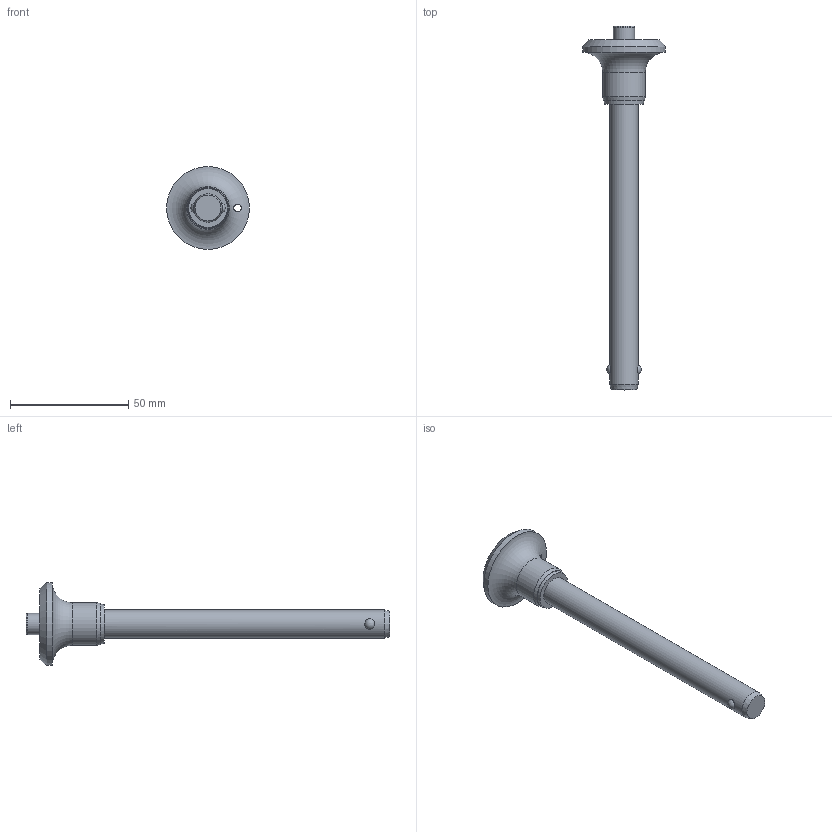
import cadquery as cq
import math


shank_radius = 6.0
shank_length = 120.8
tip_length = 2.4
tip_radius = 5.4

ball_radius = 2.25
ball_protrusion = 1.3
ball_from_tip = 8.6

collar_length = 1.4
collar_end_radius = 8.2
collar_radius = 8.4
taper_length = 1.7
taper_end_radius = 8.6

body_radius = 9.0
body_length = 10.3
flange_radius = 17.5
rim_length = 2.4
flange_chamfer_length = 2.8
flange_face_radius = 15.2

button_radius = 4.5
button_length = 5.9
button_edge_length = 0.5
button_face_radius = 4.3

lanyard_hole_radius = 1.6
lanyard_hole_offset = 12.5

flare_radius = flange_radius - body_radius
shank_end = -shank_length
taper_start = collar_length
body_start = taper_start + taper_length
flare_start = body_start + body_length
rim_start = flare_start + flare_radius
rim_end = rim_start + rim_length
flange_face = rim_end + flange_chamfer_length
button_end = flange_face + button_length


def make_turned_body():
    """Revolve the half profile of shank, collar, knob and button about Y."""
    flare_reach = flare_radius * math.sqrt(0.5)
    flare_middle = (flange_radius - flare_reach, flare_start + flare_reach)
    profile = (
        cq.Workplane("XY")
        .moveTo(0, shank_end)
        .lineTo(tip_radius, shank_end)
        .lineTo(shank_radius, shank_end + tip_length)
        .lineTo(shank_radius, 0)
        .lineTo(collar_end_radius, 0)
        .lineTo(collar_radius, taper_start)
        .lineTo(taper_end_radius, taper_start)
        .lineTo(body_radius, body_start)
        .lineTo(body_radius, flare_start)
        .threePointArc(flare_middle, (flange_radius, rim_start))
        .lineTo(flange_radius, rim_end)
        .lineTo(flange_face_radius, flange_face)
        .lineTo(button_radius, flange_face)
        .lineTo(button_radius, button_end - button_edge_length)
        .lineTo(button_face_radius, button_end)
        .lineTo(0, button_end)
        .close()
    )
    return profile.revolve(360, (0, 0, 0), (0, 1, 0))


def add_locking_balls(pin):
    """Add the two balls that stand out of opposite sides of the shank."""
    ball_x = shank_radius + ball_protrusion - ball_radius
    ball_y = shank_end + ball_from_tip
    for side in (-1, 1):
        ball = cq.Workplane("XY").sphere(ball_radius).translate((side * ball_x, ball_y, 0))
        pin = pin.union(ball)
    return pin


def cut_lanyard_hole(pin):
    """Drill the flange parallel to the pin axis."""
    hole = (
        cq.Workplane("XZ", origin=(lanyard_hole_offset, flange_face, 0))
        .circle(lanyard_hole_radius)
        .extrude(flange_face - flare_start)
    )
    return pin.cut(hole)


result = cut_lanyard_hole(add_locking_balls(make_turned_body()))